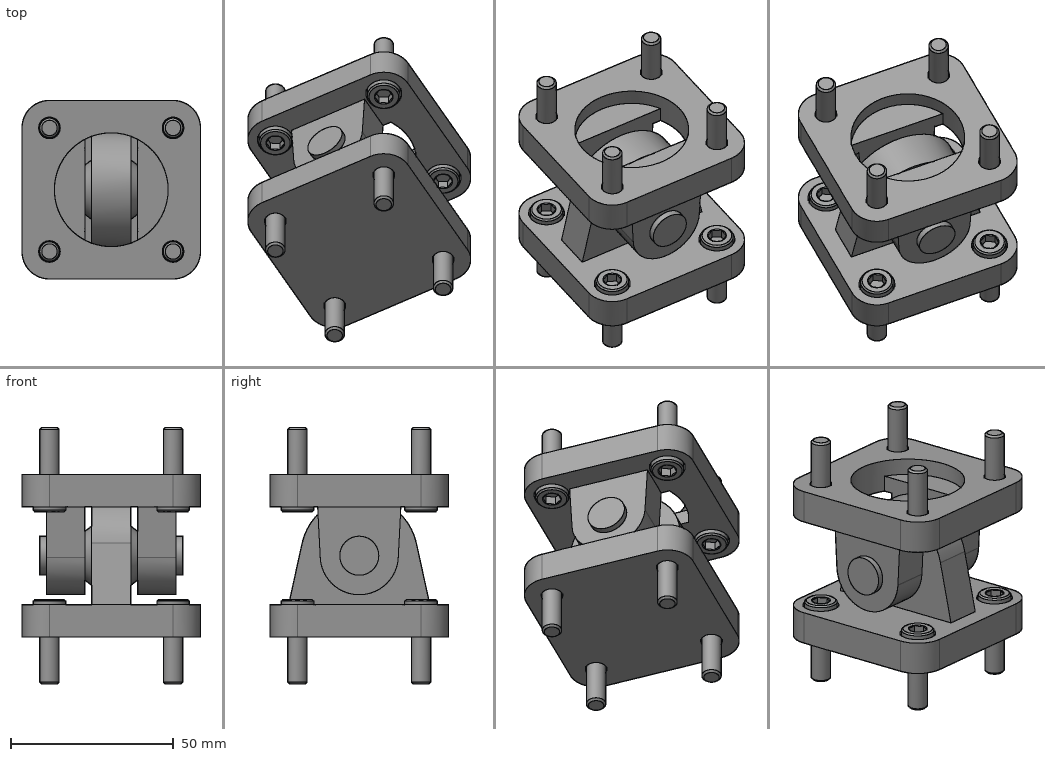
import cadquery as cq
import math


FLANGE_SIDE = 55.0
FLANGE_THICKNESS = 10.0
FLANGE_GAP = 30.0
HOLE_SPACING = 38.0
CORNER_RADIUS = (FLANGE_SIDE - HOLE_SPACING) / 2
OPENING_DIAMETER = 35.0
OPENING_FLOOR_THICKNESS = 5.0
INNER_FACE = FLANGE_GAP / 2

OVERALL_HEIGHT = 79.0
SCREW_DIAMETER = 6.0
SCREW_TIP_CHAMFER = 0.6
HEAD_DIAMETER = 10.0
HEAD_HEIGHT = 6.0
HEAD_CHAMFER = 0.5
HEAD_PROJECTION = 1.5
SOCKET_ACROSS_FLATS = 5.0
SOCKET_SIDES = 6
SOCKET_TURN = 30
SOCKET_DEPTH = 3.0
SOCKET_RIM_DEPTH = 0.2
CLEARANCE_DIAMETER = 6.6
COUNTERBORE_DIAMETER = 11.0
COUNTERBORE_DEPTH = HEAD_HEIGHT - HEAD_PROJECTION
SCREW_TIP = OVERALL_HEIGHT / 2
SCREW_HEAD_TOP = INNER_FACE - HEAD_PROJECTION

PIN_DIAMETER = 12.0
PIN_LENGTH = 44.0

LUG_OUTER_WIDTH = 40.0
LUG_GAP = 16.2
LUG_RADIUS = 12.0
LUG_ROOT_WIDTH = 25.6
LUG_INNER_X = LUG_GAP / 2
LUG_THICKNESS = (LUG_OUTER_WIDTH - LUG_GAP) / 2

EYE_THICKNESS = 12.0
EYE_RADIUS = 18.0
EYE_ROOT_WIDTH = 43.45

COLLAR_EYE_DIAMETER = 18.3
COLLAR_LUG_DIAMETER = 15.2


def tangent_point(root_half_width, radius):
    """Where a line from the lug root, INNER_FACE below the center, touches the rounded end."""
    root_distance = math.hypot(root_half_width, INNER_FACE)
    angle = math.acos(radius / root_distance) - math.atan2(INNER_FACE, root_half_width)
    return radius * math.cos(angle), radius * math.sin(angle)


def rounded_lug(root_width, radius, first_x, thickness):
    """A lug with tapered sides and a rounded top, standing on the lower flange."""
    root = root_width / 2
    touch_y, touch_z = tangent_point(root, radius)
    return (
        cq.Workplane("YZ", origin=(first_x, 0, 0))
        .moveTo(-root, -INNER_FACE)
        .lineTo(root, -INNER_FACE)
        .lineTo(touch_y, touch_z)
        .threePointArc((0, radius), (-touch_y, touch_z))
        .close()
        .extrude(thickness)
    )


def turned_over(body):
    """The body turned half a turn about the pin axis, from the upper side to the lower."""
    return body.rotate((0, 0, 0), (1, 0, 0), 180)


def screw_places():
    half = HOLE_SPACING / 2
    return [(x, y) for x in (-half, half) for y in (-half, half)]


def flange_plate():
    """The upper plate, with stepped screw holes whose counterbores open downward."""
    plate = (
        cq.Workplane("XY", origin=(0, 0, INNER_FACE))
        .rect(FLANGE_SIDE, FLANGE_SIDE)
        .extrude(FLANGE_THICKNESS)
        .edges("|Z")
        .fillet(CORNER_RADIUS)
    )
    holes = (
        cq.Workplane("XY", origin=(0, 0, INNER_FACE))
        .pushPoints(screw_places())
        .circle(CLEARANCE_DIAMETER / 2)
        .extrude(FLANGE_THICKNESS)
    )
    counterbores = (
        cq.Workplane("XY", origin=(0, 0, INNER_FACE))
        .pushPoints(screw_places())
        .circle(COUNTERBORE_DIAMETER / 2)
        .extrude(COUNTERBORE_DEPTH)
    )
    return plate.cut(holes).cut(counterbores)


def make_screw(x, y):
    """A socket head screw in the upper plate, head down and tip up."""
    head = (
        cq.Workplane("XY", origin=(x, y, SCREW_HEAD_TOP))
        .circle(HEAD_DIAMETER / 2)
        .extrude(HEAD_HEIGHT)
        .faces("<Z")
        .chamfer(HEAD_CHAMFER)
    )
    shank = (
        cq.Workplane("XY", origin=(x, y, SCREW_HEAD_TOP + HEAD_HEIGHT))
        .circle(SCREW_DIAMETER / 2)
        .extrude(SCREW_TIP - SCREW_HEAD_TOP - HEAD_HEIGHT)
        .faces(">Z")
        .chamfer(SCREW_TIP_CHAMFER)
    )
    socket = (
        cq.Workplane("XY", origin=(x, y, SCREW_HEAD_TOP))
        .transformed(rotate=(0, 0, SOCKET_TURN))
        .polygon(SOCKET_SIDES, SOCKET_ACROSS_FLATS, circumscribed=True)
        .extrude(SOCKET_DEPTH)
    )
    flat_radius = SOCKET_ACROSS_FLATS / 2
    corner_radius = flat_radius / math.cos(math.pi / SOCKET_SIDES)
    rim = cq.Solid.makeCone(corner_radius, flat_radius, SOCKET_RIM_DEPTH, pnt=(x, y, SCREW_HEAD_TOP))
    return head.union(shank).cut(socket).cut(cq.Workplane(rim))


def make_pin():
    return cq.Workplane("YZ").circle(PIN_DIAMETER / 2).extrude(PIN_LENGTH / 2, both=True)


def fork_opening():
    """The space of the round opening: blind above the lugs, right through between them."""
    full_depth = (
        cq.Workplane("XY", origin=(0, 0, INNER_FACE))
        .circle(OPENING_DIAMETER / 2)
        .extrude(FLANGE_THICKNESS)
    )
    between_lugs = cq.Workplane("XY").box(LUG_GAP, FLANGE_SIDE, OVERALL_HEIGHT)
    above_floor = (
        cq.Workplane("XY", origin=(0, 0, INNER_FACE + OPENING_FLOOR_THICKNESS))
        .circle(OPENING_DIAMETER / 2)
        .extrude(FLANGE_THICKNESS - OPENING_FLOOR_THICKNESS)
    )
    return full_depth.intersect(between_lugs).union(above_floor)


def make_fork_flange():
    """The upper plate with its round opening and two lugs that hang from it."""
    fork = flange_plate().cut(fork_opening())
    for first_x in (-LUG_OUTER_WIDTH / 2, LUG_INNER_X):
        lug = rounded_lug(LUG_ROOT_WIDTH, LUG_RADIUS, first_x, LUG_THICKNESS)
        fork = fork.union(turned_over(lug))
    return fork.cut(make_pin())


def make_collar():
    """A collar around the pin that narrows like a cone from the eye to the fork lugs."""
    eye_face = EYE_THICKNESS / 2
    eye_end = COLLAR_EYE_DIAMETER / 2
    lug_end = COLLAR_LUG_DIAMETER / 2
    return (
        cq.Workplane("XY")
        .moveTo(-LUG_INNER_X, 0)
        .lineTo(-LUG_INNER_X, lug_end)
        .lineTo(-eye_face, eye_end)
        .lineTo(eye_face, eye_end)
        .lineTo(LUG_INNER_X, lug_end)
        .lineTo(LUG_INNER_X, 0)
        .close()
        .revolve(360, (0, 0, 0), (1, 0, 0))
    )


def make_eye_flange():
    """The lower plate with its eye, the collars of the eye and its four fixed screws."""
    eye = rounded_lug(EYE_ROOT_WIDTH, EYE_RADIUS, -EYE_THICKNESS / 2, EYE_THICKNESS)
    flange = turned_over(flange_plate()).union(eye).union(make_collar()).cut(make_pin())
    for x, y in screw_places():
        flange = flange.union(turned_over(make_screw(x, y)))
    return flange


fork_flange = make_fork_flange()
eye_flange = make_eye_flange()
pin = make_pin()
fork_screws = [make_screw(x, y) for x, y in screw_places()]

result = cq.Compound.makeCompound(
    [fork_flange.val(), eye_flange.val(), pin.val(), *[screw.val() for screw in fork_screws]]
)